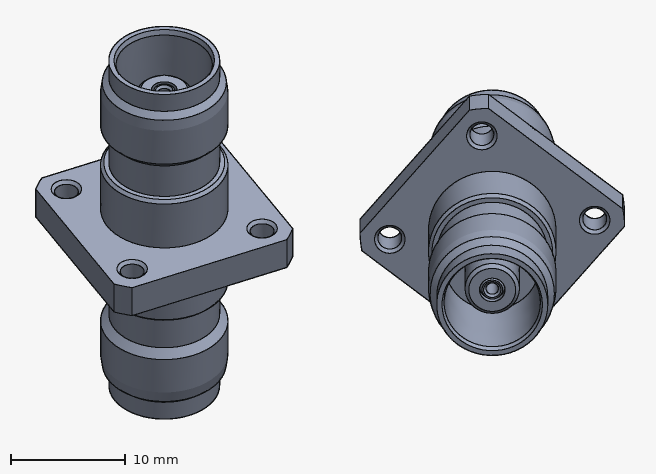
import cadquery as cq

length = 35.9
flange_width = 17.5
flange_thickness = 3.1
flange_corner_radius = 11.55

hole_spacing = 12.7
hole_diameter = 2.1
hole_mouth_diameter = 2.65
hole_chamfer = (hole_mouth_diameter - hole_diameter) / 2

body_radius = 5.55
neck_radius = 4.85
lead_radius = 5.42
rim_length = 1.85
lead_depth = 2.4
collar_depth = 3.5
collar_end_depth = 7.15
neck_depth = 7.9
shoulder_depth = 11.27
shoulder_chamfer = 0.3

mouth_radius = 4.38
mouth_chamfer_depth = 0.45
bore_radius = 4.2
bore_floor_radius = 4.1
bore_depth = 8.4

insulator_depth = 3.23
insulator_radius = 2.37
insulator_chamfer = 0.32
pin_gap_radius = 1.1
pin_gap_depth = 0.72
pin_tip_radius = 0.9
pin_recess = 0.07
pin_hole_radius = 0.55
pin_hole_mouth_radius = 0.75
pin_hole_chamfer = pin_hole_mouth_radius - pin_hole_radius
pin_hole_depth = 2.87
pin_tip_depth = insulator_depth + pin_recess

half_length = length / 2


def barrel():
    """Upper half of the connector, revolved about Z from the mid-plane to the open end."""
    profile = [
        (0, half_length),
        (body_radius, half_length),
        (body_radius, shoulder_depth + shoulder_chamfer),
        (body_radius - shoulder_chamfer, shoulder_depth),
        (neck_radius, shoulder_depth),
        (neck_radius, neck_depth),
        (body_radius, collar_end_depth),
        (body_radius, collar_depth),
        (lead_radius, lead_depth),
        (neck_radius, rim_length),
        (neck_radius, 0),
        (mouth_radius, 0),
        (bore_radius, mouth_chamfer_depth),
        (bore_floor_radius, bore_depth),
        (insulator_radius, bore_depth),
        (insulator_radius, insulator_depth + insulator_chamfer),
        (insulator_radius - insulator_chamfer, insulator_depth),
        (pin_gap_radius, insulator_depth),
        (pin_gap_radius, insulator_depth + pin_gap_depth),
        (pin_tip_radius, pin_tip_depth),
        (pin_hole_mouth_radius, pin_tip_depth),
        (pin_hole_radius, pin_tip_depth + pin_hole_chamfer),
        (pin_hole_radius, pin_tip_depth + pin_hole_depth),
        (0, pin_tip_depth + pin_hole_depth),
    ]
    points = [(radius, half_length - depth) for radius, depth in profile]
    return cq.Workplane("XZ").polyline(points).close().revolve(360, (0, 0), (0, 1))


def flange():
    """Square plate at mid-length with trimmed corners and four holes chamfered on both faces."""
    plate = cq.Workplane("XY").box(flange_width, flange_width, flange_thickness)
    trim = cq.Workplane("XY").circle(flange_corner_radius).extrude(flange_thickness / 2, both=True)
    plate = (
        plate.intersect(trim)
        .faces(">Z").workplane()
        .rarray(hole_spacing, hole_spacing, 2, 2)
        .hole(hole_diameter)
    )
    return plate.edges("%CIRCLE").edges(cq.selectors.RadiusNthSelector(0)).chamfer(hole_chamfer)


upper_barrel = barrel()
lower_barrel = upper_barrel.mirror("XY")
result = flange().union(upper_barrel).union(lower_barrel)